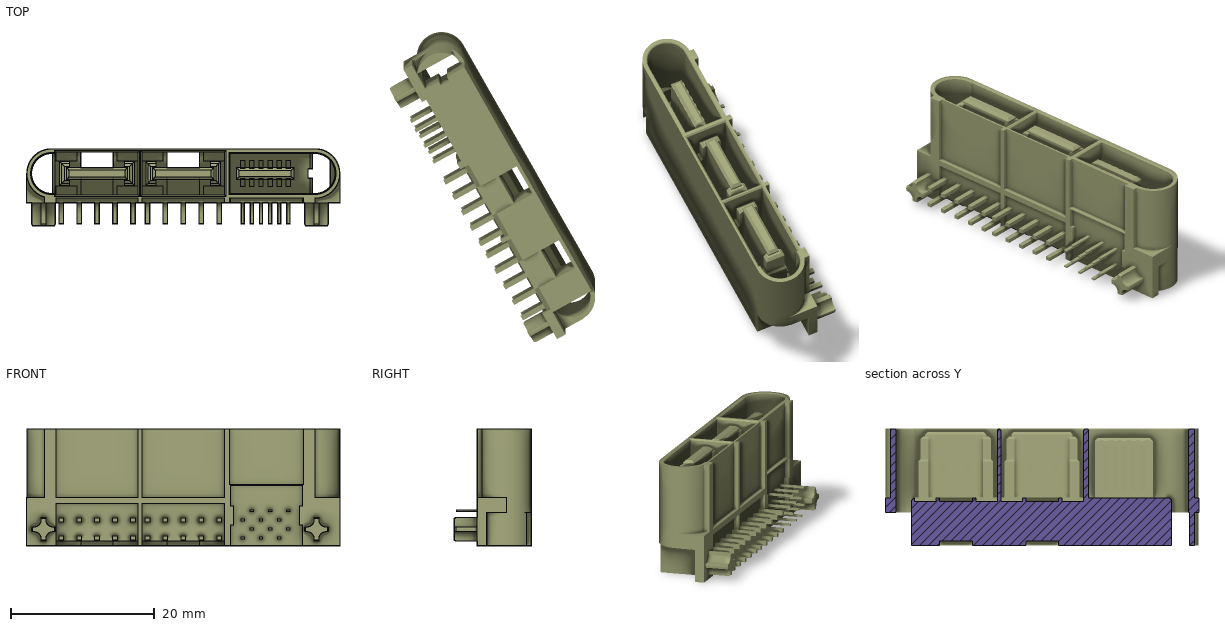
import cadquery as cq
import math

BASE_LENGTH = 43.66
DEPTH = 7.54
HEIGHT = 16.28
RECESS_DEPTH = 0.66

SHELL_LEFT = 0.06
SHELL_LENGTH = 43.56
SHELL_BOTTOM = 4.61
SHELL_RADIUS = (DEPTH - RECESS_DEPTH) / 2
LEFT_CENTER_X = SHELL_LEFT + SHELL_RADIUS
RIGHT_CENTER_X = SHELL_LEFT + SHELL_LENGTH - SHELL_RADIUS
AXIS_Y = RECESS_DEPTH + SHELL_RADIUS
WALL = 0.66
INNER_RADIUS = SHELL_RADIUS - WALL
RIM_CHAMFER = 0.13

PLATE_THICKNESS = 1.32
SHOULDER_TOP = 6.72
FLOOR_TOP = SHOULDER_TOP
BLOCK_LEFT = 3.62
BLOCK_RIGHT = 39.85
BLOCK_CHAMFER = 0.36
END_WALL_LEFT = 42.26
KEY_NOTCH_LENGTH = 0.65
KEY_NOTCH_WIDTH = 1.3

POWER_BAY_LEFT = 4.12
POWER_BAY_LENGTH = 11.42
POWER_BAY_PITCH = 12.0
POWER_BAY_WALL = 0.48
POWER_BAY_CHAMFER = 0.21
POWER_BAY_LEFTS = [POWER_BAY_LEFT + i * POWER_BAY_PITCH for i in range(2)]
POWER_BAY_WIDTH = 2 * (SHELL_RADIUS - POWER_BAY_WALL)
POWER_BAY_FRONT = AXIS_Y - POWER_BAY_WIDTH / 2
POWER_BAY_BACK = AXIS_Y + POWER_BAY_WIDTH / 2

CORNER_POCKET_LENGTH = 2.9
CORNER_POCKET_WIDTH = 1.2
FLOOR_STEP = 0.5
WINDOW_LENGTH = 4.5

BLADE_LENGTH = 8.5
BLADE_WIDTH = 1.64
BLADE_TOP = 15.83
BLADE_CHAMFER = 0.36
HOLDER_GAP = 7.62
LOWER_HOLDER_LENGTH = 10.38
LOWER_HOLDER_WIDTH = 3.3
LOWER_HOLDER_TOP = 12.0
LOWER_HOLDER_CHAMFER = 0.27
UPPER_HOLDER_LENGTH = LOWER_HOLDER_LENGTH - 2 * LOWER_HOLDER_CHAMFER
UPPER_HOLDER_WIDTH = LOWER_HOLDER_WIDTH - 2 * LOWER_HOLDER_CHAMFER
UPPER_HOLDER_TOP = 15.2
UPPER_HOLDER_CHAMFER = 0.38

SIGNAL_BAY_LEFT = 28.31
SIGNAL_BLADE_LEFT = 29.22
SIGNAL_BLADE_LENGTH = 8.03
SIGNAL_BLADE_WIDTH = 1.64
SIGNAL_BLADE_TOP = 14.98
SIGNAL_BLADE_CHAMFER = 0.4
CONTACT_COUNT = 6
CONTACT_PITCH = 1.27
CONTACT_FIRST_X = 30.11
CONTACT_WIDTH = 0.6
CONTACT_PROUD = 0.04
CONTACT_TOP_DROP = 0.3
CONTACT_FOOT_SPAN = 3.55
CONTACT_FOOT_HEIGHT = 0.2

FRONT_RAIL_LEFT = 2.52
FRONT_RAIL_RIGHT = RIGHT_CENTER_X
LOWER_PANEL_TOP = 5.9
BOTTOM_BEVEL = 0.66
SIGNAL_PANEL_LEFT = 28.29
SIGNAL_PANEL_RIGHT = 38.58
SIGNAL_SHELF_TOP = 8.54
SIGNAL_SHELF_THICKNESS = 0.12
SIGNAL_LOWER_INSET = 0.13
SIGNAL_TAB_LENGTH = 0.41
SIGNAL_TAB_BOTTOM = 2.9
SIGNAL_TAB_TOP = 5.54

PIN_REACH = 2.9
POWER_PIN_COUNT = 5
POWER_PIN_PITCH = 2.5
POWER_PIN_FIRST_OFFSET = 0.72
POWER_PIN_WIDTH = 0.66
POWER_PIN_THICKNESS = 0.56
PIN_BOTTOM_ROW_Z = 1.08
SIGNAL_PIN_WIDTH = 0.48
SIGNAL_PIN_THICKNESS = 0.26
SIGNAL_PIN_ROWS = 4
POST_REACH = 3.2
POST_Z = 2.3
POST_XS = (2.38, 40.38)
POST_RADIUS = 1.65
POST_ARM_HALF_WIDTH = 0.33
POST_SCALLOP_RADIUS = 1.0
POST_TIP_CHAMFER = 0.13


def box(x0, x1, y0, y1, z0, z1):
    """Box between opposite corners."""
    return cq.Workplane("XY").box(x1 - x0, y1 - y0, z1 - z0, centered=False).translate((x0, y0, z0))


def tower(center_x, length, width, top, chamfer):
    """Block on the bay floor, centred on the shell axis, chamfered around its top."""
    block = box(center_x - length / 2, center_x + length / 2,
                AXIS_Y - width / 2, AXIS_Y + width / 2, FLOOR_TOP, top)
    return block.faces(">Z").chamfer(chamfer)


def stadium(z0, z1):
    """Solid inside the outer outline of the shell."""
    center_x = SHELL_LEFT + SHELL_LENGTH / 2
    outline = cq.Workplane("XY").center(center_x, AXIS_Y).slot2D(SHELL_LENGTH, 2 * SHELL_RADIUS)
    return outline.extrude(z1 - z0).translate((0, 0, z0))


def round_cavity(flat_x, center_x, z0):
    """Cavity with one flat and one round end, flared at the rim."""
    side = 1 if center_x > flat_x else -1

    def outline(plane_z, grow):
        radius = INNER_RADIUS + grow
        return (
            cq.Workplane("XY").workplane(offset=plane_z)
            .moveTo(flat_x - side * grow, AXIS_Y - radius)
            .lineTo(center_x, AXIS_Y - radius)
            .threePointArc((center_x + side * radius, AXIS_Y), (center_x, AXIS_Y + radius))
            .lineTo(flat_x - side * grow, AXIS_Y + radius)
            .close()
        )

    flare = outline(HEIGHT, RIM_CHAMFER).extrude(-RIM_CHAMFER, taper=45)
    return outline(z0, 0).extrude(HEIGHT - z0).union(flare)


def power_cavity(left):
    """Rectangular power bay above its floor, flared at the rim."""
    right = left + POWER_BAY_LENGTH
    cavity = box(left, right, POWER_BAY_FRONT, POWER_BAY_BACK, FLOOR_TOP, HEIGHT)
    flare = (
        cq.Workplane("XY").workplane(offset=HEIGHT)
        .center((left + right) / 2, AXIS_Y)
        .rect(POWER_BAY_LENGTH + 2 * POWER_BAY_CHAMFER, POWER_BAY_WIDTH + 2 * POWER_BAY_CHAMFER)
        .extrude(-POWER_BAY_CHAMFER, taper=45)
    )
    return cavity.union(flare)


def base_block():
    """Block under the bays; its two upper end edges are chamfered."""
    block = box(BLOCK_LEFT, BLOCK_RIGHT, RECESS_DEPTH, DEPTH, 0, FLOOR_TOP)
    block = block.faces(">Z").edges("|Y").chamfer(BLOCK_CHAMFER)
    notch = box(BLOCK_RIGHT - KEY_NOTCH_LENGTH, BLOCK_RIGHT,
                AXIS_Y - KEY_NOTCH_WIDTH / 2, AXIS_Y + KEY_NOTCH_WIDTH / 2, 0, FLOOR_TOP)
    return block.cut(notch)


def housing():
    """Shell, front plate, shoulders and base block with the three bays opened."""
    open_end = POWER_BAY_LEFT + WALL
    body = stadium(SHELL_BOTTOM, HEIGHT)
    body = body.union(box(FRONT_RAIL_LEFT, FRONT_RAIL_RIGHT, 0, AXIS_Y, SHELL_BOTTOM, HEIGHT))
    body = body.union(box(0, BASE_LENGTH, 0, AXIS_Y, SHELL_BOTTOM, SHOULDER_TOP))
    body = body.cut(round_cavity(open_end, LEFT_CENTER_X, SHELL_BOTTOM))
    body = body.cut(round_cavity(SIGNAL_BAY_LEFT, RIGHT_CENTER_X, SHELL_BOTTOM))
    for left in POWER_BAY_LEFTS:
        body = body.cut(power_cavity(left))
    body = body.union(box(0, BASE_LENGTH, 0, PLATE_THICKNESS, 0, SHELL_BOTTOM))
    end_wall = box(END_WALL_LEFT, BASE_LENGTH, 0, DEPTH, 0, SHELL_BOTTOM)
    body = body.union(end_wall.intersect(stadium(0, SHELL_BOTTOM)))
    return body.union(base_block())


def power_floor_cuts(left):
    """Pockets, trough and window in the floor of one power bay, and the slot below it."""
    right = left + POWER_BAY_LENGTH
    center_x = (left + right) / 2
    window_left = center_x - WINDOW_LENGTH / 2
    window_right = center_x + WINDOW_LENGTH / 2
    step_z = FLOOR_TOP - FLOOR_STEP
    cuts = box(window_left, window_right, AXIS_Y, POWER_BAY_BACK, 0, FLOOR_TOP)
    cuts = cuts.union(box(window_left, window_right, POWER_BAY_FRONT, AXIS_Y, step_z, FLOOR_TOP))
    cuts = cuts.union(box(window_left, window_right, RECESS_DEPTH, AXIS_Y, 0, BOTTOM_BEVEL))
    for x in (left, right - CORNER_POCKET_LENGTH):
        for y in (POWER_BAY_FRONT, POWER_BAY_BACK - CORNER_POCKET_WIDTH):
            cuts = cuts.union(
                box(x, x + CORNER_POCKET_LENGTH, y, y + CORNER_POCKET_WIDTH, step_z, FLOOR_TOP))
    return cuts


def power_front_cuts(left):
    """Upper and lower front recesses of one power bay; the lower one is bevelled at the bottom."""
    right = left + POWER_BAY_LENGTH
    cuts = box(left, right, 0, RECESS_DEPTH, SHOULDER_TOP, HEIGHT)
    cuts = cuts.union(box(left, right, 0, RECESS_DEPTH, 0, LOWER_PANEL_TOP))
    bevel = (
        cq.Workplane("YZ").workplane(offset=left)
        .polyline([(RECESS_DEPTH, 0), (RECESS_DEPTH + BOTTOM_BEVEL, 0), (RECESS_DEPTH, BOTTOM_BEVEL)])
        .close()
        .extrude(POWER_BAY_LENGTH)
    )
    return cuts.union(bevel)


def signal_front_cuts():
    """Front recesses above and below the thin signal shelf, with a tab left on each side."""
    lower_left = SIGNAL_PANEL_LEFT + SIGNAL_LOWER_INSET
    lower_right = SIGNAL_PANEL_RIGHT - SIGNAL_LOWER_INSET
    shelf_bottom = SIGNAL_SHELF_TOP - SIGNAL_SHELF_THICKNESS
    upper = box(SIGNAL_PANEL_LEFT, SIGNAL_PANEL_RIGHT, 0, RECESS_DEPTH, SIGNAL_SHELF_TOP, HEIGHT)
    lower = box(lower_left, lower_right, 0, RECESS_DEPTH, 0, shelf_bottom)
    for x in (lower_left, lower_right - SIGNAL_TAB_LENGTH):
        lower = lower.cut(
            box(x, x + SIGNAL_TAB_LENGTH, 0, RECESS_DEPTH, SIGNAL_TAB_BOTTOM, SIGNAL_TAB_TOP))
    return upper.union(lower)


def power_blade(left):
    """Power blade standing between its two stepped end blocks."""
    center_x = left + POWER_BAY_LENGTH / 2
    holders = tower(center_x, LOWER_HOLDER_LENGTH, LOWER_HOLDER_WIDTH,
                    LOWER_HOLDER_TOP, LOWER_HOLDER_CHAMFER)
    holders = holders.union(tower(center_x, UPPER_HOLDER_LENGTH, UPPER_HOLDER_WIDTH,
                                  UPPER_HOLDER_TOP, UPPER_HOLDER_CHAMFER))
    holders = holders.cut(box(center_x - HOLDER_GAP / 2, center_x + HOLDER_GAP / 2,
                              0, DEPTH, FLOOR_TOP, HEIGHT))
    return holders.union(tower(center_x, BLADE_LENGTH, BLADE_WIDTH, BLADE_TOP, BLADE_CHAMFER))


def signal_blade():
    """Signal blade with a row of contacts on both faces, each with a foot on the bay floor."""
    center_x = SIGNAL_BLADE_LEFT + SIGNAL_BLADE_LENGTH / 2
    blade = tower(center_x, SIGNAL_BLADE_LENGTH, SIGNAL_BLADE_WIDTH,
                  SIGNAL_BLADE_TOP, SIGNAL_BLADE_CHAMFER)
    half_strip = SIGNAL_BLADE_WIDTH / 2 + CONTACT_PROUD
    half_foot = CONTACT_FOOT_SPAN / 2
    for i in range(CONTACT_COUNT):
        x0 = CONTACT_FIRST_X + i * CONTACT_PITCH - CONTACT_WIDTH / 2
        x1 = x0 + CONTACT_WIDTH
        blade = blade.union(box(x0, x1, AXIS_Y - half_strip, AXIS_Y + half_strip,
                                FLOOR_TOP, SIGNAL_BLADE_TOP - CONTACT_TOP_DROP))
        blade = blade.union(box(x0, x1, AXIS_Y - half_foot, AXIS_Y + half_foot,
                                FLOOR_TOP, FLOOR_TOP + CONTACT_FOOT_HEIGHT))
    return blade


def pin(x, z, width, thickness):
    """Straight pin from inside the base out through the front face."""
    return box(x - width / 2, x + width / 2, -PIN_REACH, PLATE_THICKNESS,
               z - thickness / 2, z + thickness / 2)


def add_pins(body):
    """Two rows of pins per power bay and four staggered rows of signal pins."""
    for left in POWER_BAY_LEFTS:
        for i in range(POWER_PIN_COUNT):
            x = left + POWER_PIN_FIRST_OFFSET + i * POWER_PIN_PITCH
            for z in (PIN_BOTTOM_ROW_Z, PIN_BOTTOM_ROW_Z + POWER_PIN_PITCH):
                body = body.union(pin(x, z, POWER_PIN_WIDTH, POWER_PIN_THICKNESS))
    for i in range(CONTACT_COUNT):
        x = CONTACT_FIRST_X + i * CONTACT_PITCH
        for row in range(i % 2, SIGNAL_PIN_ROWS, 2):
            z = PIN_BOTTOM_ROW_Z + row * CONTACT_PITCH
            body = body.union(pin(x, z, SIGNAL_PIN_WIDTH, SIGNAL_PIN_THICKNESS))
    return body


def post(x):
    """Round locating post with four scallops that leave a cross, chamfered at the tip."""
    shaft = cq.Workplane("XZ").circle(POST_RADIUS).extrude(POST_REACH)
    shaft = shaft.faces("<Y").chamfer(2 * POST_TIP_CHAMFER, POST_TIP_CHAMFER)
    arc_end = POST_ARM_HALF_WIDTH + POST_SCALLOP_RADIUS
    arc_middle = arc_end - POST_SCALLOP_RADIUS * math.sqrt(0.5)
    for sx in (-1, 1):
        for sz in (-1, 1):
            scallop = (
                cq.Workplane("XZ")
                .moveTo(sx * POST_ARM_HALF_WIDTH, sz * POST_RADIUS)
                .lineTo(sx * POST_ARM_HALF_WIDTH, sz * arc_end)
                .threePointArc((sx * arc_middle, sz * arc_middle),
                               (sx * arc_end, sz * POST_ARM_HALF_WIDTH))
                .lineTo(sx * POST_RADIUS, sz * POST_ARM_HALF_WIDTH)
                .lineTo(sx * POST_RADIUS, sz * POST_RADIUS)
                .close()
                .extrude(POST_REACH)
            )
            shaft = shaft.cut(scallop)
    return shaft.translate((x, 0, POST_Z))


connector = housing()
for bay_left in POWER_BAY_LEFTS:
    connector = connector.cut(power_floor_cuts(bay_left)).cut(power_front_cuts(bay_left))
    connector = connector.union(power_blade(bay_left))
connector = connector.cut(signal_front_cuts()).union(signal_blade())
connector = add_pins(connector)
for post_x in POST_XS:
    connector = connector.union(post(post_x))

result = connector